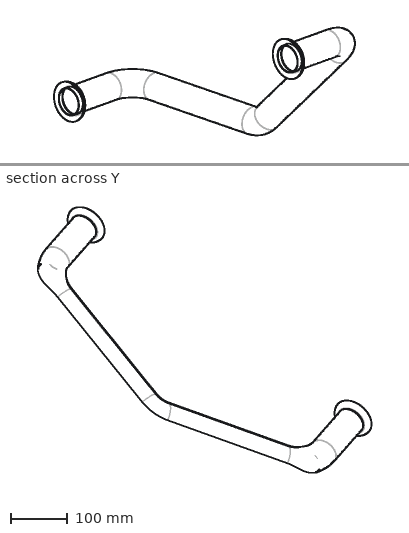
import cadquery as cq
import math

TUBE_OUTER_DIAMETER = 50.8
TUBE_INNER_DIAMETER = 47.8
LEG_LENGTH = 317.0
STUB_LENGTH = 159.9
BEND_RADIUS = 52.5
RISE_ANGLE = 45.0

COLLAR_BORE_DIAMETER = 51.0
COLLAR_RIM_DIAMETER = 74.0
COLLAR_OUTER_CURVE_RADIUS = 11.0
COLLAR_INNER_CURVE_RADIUS = 9.0
COLLAR_LIP_WIDTH = 0.5

rise_direction = cq.Vector(
    math.cos(math.radians(RISE_ANGLE)), 0, math.sin(math.radians(RISE_ANGLE))
)

lower_end = cq.Vector(0, 0, 0)
lower_corner = cq.Vector(0, STUB_LENGTH, 0)
middle_corner = lower_corner + cq.Vector(LEG_LENGTH, 0, 0)
upper_corner = middle_corner + rise_direction * LEG_LENGTH
upper_end = upper_corner - cq.Vector(0, STUB_LENGTH, 0)


def bend_points(before, corner, after):
    """Start, middle and end of the arc that rounds one centreline corner."""
    back = (before - corner).normalized()
    ahead = (after - corner).normalized()
    half_angle = back.getAngle(ahead) / 2
    setback = BEND_RADIUS / math.tan(half_angle)
    corner_to_arc = BEND_RADIUS / math.sin(half_angle) - BEND_RADIUS
    return (
        corner + back * setback,
        corner + (back + ahead).normalized() * corner_to_arc,
        corner + ahead * setback,
    )


def tube_centreline():
    corners = [lower_end, lower_corner, middle_corner, upper_corner, upper_end]
    edges = []
    position = lower_end
    for before, corner, after in zip(corners, corners[1:], corners[2:]):
        start, middle, end = bend_points(before, corner, after)
        edges.append(cq.Edge.makeLine(position, start))
        edges.append(cq.Edge.makeThreePointArc(start, middle, end))
        position = end
    edges.append(cq.Edge.makeLine(position, upper_end))
    return cq.Wire.assembleEdges(edges)


def make_tube():
    end_plane = cq.Plane(origin=lower_end.toTuple(), xDir=(1, 0, 0), normal=(0, 1, 0))
    return (
        cq.Workplane(end_plane)
        .circle(TUBE_OUTER_DIAMETER / 2)
        .circle(TUBE_INNER_DIAMETER / 2)
        .sweep(tube_centreline())
    )


def quarter_curve(profile, centre_radius, curve_radius, end):
    """Continue the profile to `end` along a quarter circle centred level with the tube end."""
    diagonal = curve_radius * math.sqrt(0.5)
    return profile.threePointArc((centre_radius + diagonal, diagonal), end)


def make_collar(tube_end):
    """Dished ring around a tube end, its open side flush with the end and facing -Y."""
    bore = COLLAR_BORE_DIAMETER / 2
    rim = COLLAR_RIM_DIAMETER / 2
    inner_rim = rim - COLLAR_LIP_WIDTH
    back_edge = rim - COLLAR_OUTER_CURVE_RADIUS
    floor_edge = inner_rim - COLLAR_INNER_CURVE_RADIUS

    profile = (
        cq.Workplane("XY")
        .moveTo(bore, COLLAR_INNER_CURVE_RADIUS)
        .lineTo(bore, COLLAR_OUTER_CURVE_RADIUS)
        .lineTo(back_edge, COLLAR_OUTER_CURVE_RADIUS)
    )
    profile = quarter_curve(profile, back_edge, COLLAR_OUTER_CURVE_RADIUS, (rim, 0))
    profile = profile.lineTo(inner_rim, 0)
    floor_corner = (floor_edge, COLLAR_INNER_CURVE_RADIUS)
    profile = quarter_curve(profile, floor_edge, COLLAR_INNER_CURVE_RADIUS, floor_corner)
    return profile.close().revolve(360, (0, 0, 0), (0, 1, 0)).translate(tube_end)


tube = make_tube()
collars = [make_collar(tube_end) for tube_end in (lower_end, upper_end)]

result = cq.Compound.makeCompound([tube.val(), *[collar.val() for collar in collars]])